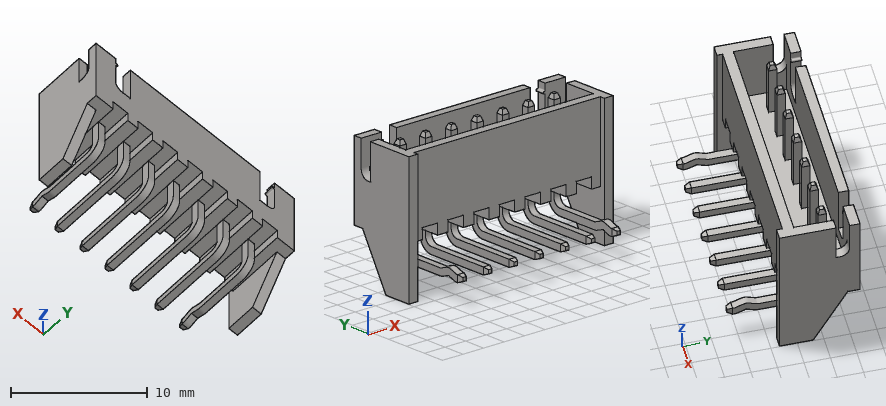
import cadquery as cq
import math


length = 19.9
height = 11.5
depth = 6.09
body_bottom = 4.5
side_wall = 0.82
leg_width = 0.88
rear_wall = 0.8
cavity_front = 4.82
front_face = 5.65
cavity_floor = 6.49

leg_slope_start = 0.94
leg_slope_end = 3.55

side_slot_bottom = 8.35
side_slot_width = 1.01
side_slot_radius = 0.75
rear_slot_bottom = 7.7
rear_slot_width = 1.45
rear_slot_radius = 0.65
tab_width = 1.99
bead_radius = 0.1
bead_drop = 0.74

pin_count = 7
pin_row_length = 15.0
pin_pitch = pin_row_length / (pin_count - 1)
pin_size = 0.64
pin_inset = 2.33
pin_axis_height = 2.3
pin_top = 11.28
pin_reach = 9.5
bend_radius = 0.7
tip_length = 0.4
tip_size = 0.34
channel_width = 1.47
channel_top = 5.45

kink_start = 7.18
kink_end = 8.95
kink_radius = 0.1
kink_angle = math.radians(20)

pin_positions = [-pin_row_length / 2 + i * pin_pitch for i in range(pin_count)]


def block(x_range, y_range, z_range):
    """Axis-aligned box given by its limits along X, Y and Z."""
    (x0, x1), (y0, y1), (z0, z1) = x_range, y_range, z_range
    return cq.Workplane("XY").box(x1 - x0, y1 - y0, z1 - z0, centered=False).translate((x0, y0, z0))


def side_plate():
    """End wall with its leg, extruded from X = 0 toward +X by the leg width."""
    return (
        cq.Workplane("YZ")
        .moveTo(0, height)
        .lineTo(0, body_bottom)
        .lineTo(-leg_slope_start, body_bottom)
        .lineTo(-leg_slope_end, 0)
        .lineTo(-depth, 0)
        .lineTo(-depth, height)
        .close()
        .extrude(leg_width)
    )


def rear_slot():
    """Cutter for the +X slot in the rear wall, rounded at the foot of the tab."""
    outer = length / 2 - tab_width
    return (
        block((outer - rear_slot_width, outer), (-rear_wall, 0), (rear_slot_bottom, height))
        .edges("|Y and >X and <Z")
        .fillet(rear_slot_radius)
    )


def side_slot():
    """Cutter for the +X slot in the end wall, rounded at the foot of the tab."""
    slot_front = -rear_wall - side_slot_width
    return (
        block((length / 2 - leg_width, length / 2), (slot_front, -rear_wall), (side_slot_bottom, height))
        .edges("|X and >Y and <Z")
        .fillet(side_slot_radius)
    )


def tab_bead():
    """Bead along the slot edge of the +X tab: a round crest blended into the tab by fillets."""
    r = bead_radius
    blend = r * math.sqrt(0.5)
    return (
        cq.Workplane("XZ", origin=(length / 2 - tab_width, 0, height - bead_drop))
        .moveTo(0, 2 * r)
        .threePointArc((-r + blend, 2 * r - blend), (-r, r))
        .threePointArc((-2 * r, 0), (-r, -r))
        .threePointArc((-r + blend, -2 * r + blend), (0, -2 * r))
        .close()
        .extrude(rear_wall)
    )


def both_ends(shape):
    """The shape together with its mirror image at the -X end."""
    return shape.union(shape.mirror("YZ"))


def make_housing():
    """Box with a cavity open at the top, legs, latch tabs, and a channel and hole for each pin."""
    half_length = length / 2
    half_cavity = half_length - side_wall
    body = block((-half_length, half_length), (-front_face, 0), (body_bottom, height))
    body = body.union(both_ends(side_plate().translate((half_length - leg_width, 0, 0))))
    body = body.cut(
        block((-half_cavity, half_cavity), (-cavity_front, -rear_wall), (cavity_floor, height))
    )
    body = body.cut(both_ends(rear_slot())).cut(both_ends(side_slot()))
    body = body.union(both_ends(tab_bead()))

    half_channel = channel_width / 2
    half_pin = pin_size / 2
    for x in pin_positions:
        channel = block(
            (x - half_channel, x + half_channel), (-front_face, 0), (body_bottom, channel_top)
        )
        pin_hole = block(
            (x - half_pin, x + half_pin),
            (-pin_inset - half_pin, -pin_inset + half_pin),
            (channel_top, cavity_floor),
        )
        body = body.cut(channel).cut(pin_hole)
    return body.solids().val()


def pin_tip(plane):
    """Tapered square tip growing out of the given plane."""
    return (
        cq.Workplane(plane)
        .rect(pin_size, pin_size)
        .workplane(offset=tip_length)
        .rect(tip_size, tip_size)
        .loft(ruled=True)
    )


def arm_outline(arm_start, arm_end, bottom, top):
    """Straight side profile of the horizontal part of a pin."""
    return (
        cq.Workplane("YZ")
        .moveTo(arm_start, bottom)
        .lineTo(arm_start, top)
        .lineTo(arm_end, top)
        .lineTo(arm_end, bottom)
        .close()
    )


def kinked_outline(arm_start, arm_end, bottom, top):
    """Side profile with a raised kink: three folds that keep the pin thickness constant."""
    crest = (kink_start + kink_end) / 2
    outer_radius = kink_radius + pin_size
    fold_z = top + kink_radius

    run = crest - kink_start - outer_radius * math.sin(kink_angle)
    crest_z = fold_z - outer_radius * math.cos(kink_angle) + run * math.tan(kink_angle)

    def first_fold(radius, angle):
        return (-kink_start - radius * math.sin(angle), fold_z - radius * math.cos(angle))

    def last_fold(radius, angle):
        return (-kink_end + radius * math.sin(angle), fold_z - radius * math.cos(angle))

    def crest_fold(angle):
        return (-crest + pin_size * math.sin(angle), crest_z + pin_size * math.cos(angle))

    half_angle = kink_angle / 2
    return (
        cq.Workplane("YZ")
        .moveTo(arm_start, bottom)
        .lineTo(arm_start, top)
        .lineTo(*first_fold(kink_radius, 0))
        .threePointArc(first_fold(kink_radius, half_angle), first_fold(kink_radius, kink_angle))
        .lineTo(*crest_fold(kink_angle))
        .threePointArc(crest_fold(0), crest_fold(-kink_angle))
        .lineTo(*last_fold(kink_radius, kink_angle))
        .threePointArc(last_fold(kink_radius, half_angle), last_fold(kink_radius, 0))
        .lineTo(arm_end, top)
        .lineTo(arm_end, bottom)
        .lineTo(*last_fold(outer_radius, 0))
        .threePointArc(last_fold(outer_radius, half_angle), last_fold(outer_radius, kink_angle))
        .lineTo(-crest, crest_z)
        .lineTo(*first_fold(outer_radius, kink_angle))
        .threePointArc(first_fold(outer_radius, half_angle), first_fold(outer_radius, 0))
        .close()
    )


def make_pin(x, kinked):
    """Right-angle pin at the given X: tipped shaft, bend, and tipped horizontal arm."""
    half_pin = pin_size / 2
    arm_bottom = pin_axis_height - half_pin
    arm_top = pin_axis_height + half_pin
    bend_axis_y = -pin_inset - half_pin - bend_radius
    bend_axis_z = arm_top + bend_radius
    shaft_top = pin_top - tip_length
    arm_end = -pin_reach + tip_length

    shaft = block(
        (-half_pin, half_pin),
        (-pin_inset - half_pin, -pin_inset + half_pin),
        (bend_axis_z, shaft_top),
    )
    axis_offset = bend_axis_y + pin_inset
    bend = (
        cq.Workplane("XY", origin=(0, -pin_inset, bend_axis_z))
        .rect(pin_size, pin_size)
        .revolve(90, (0, axis_offset, 0), (-1, axis_offset, 0))
    )
    outline = kinked_outline if kinked else arm_outline
    arm = outline(bend_axis_y, arm_end, arm_bottom, arm_top).extrude(half_pin, both=True)
    upper_tip = pin_tip(cq.Plane((0, -pin_inset, shaft_top), (1, 0, 0), (0, 0, 1)))
    front_tip = pin_tip(cq.Plane((0, arm_end, pin_axis_height), (1, 0, 0), (0, -1, 0)))
    pin = shaft.union(bend).union(arm).union(upper_tip).union(front_tip)
    return pin.translate((x, 0, 0)).solids().val()


housing = make_housing()

pins = []
for index, position in enumerate(pin_positions):
    is_outermost = index in (0, pin_count - 1)
    pins.append(make_pin(position, is_outermost))

result = cq.Compound.makeCompound([housing, *pins])